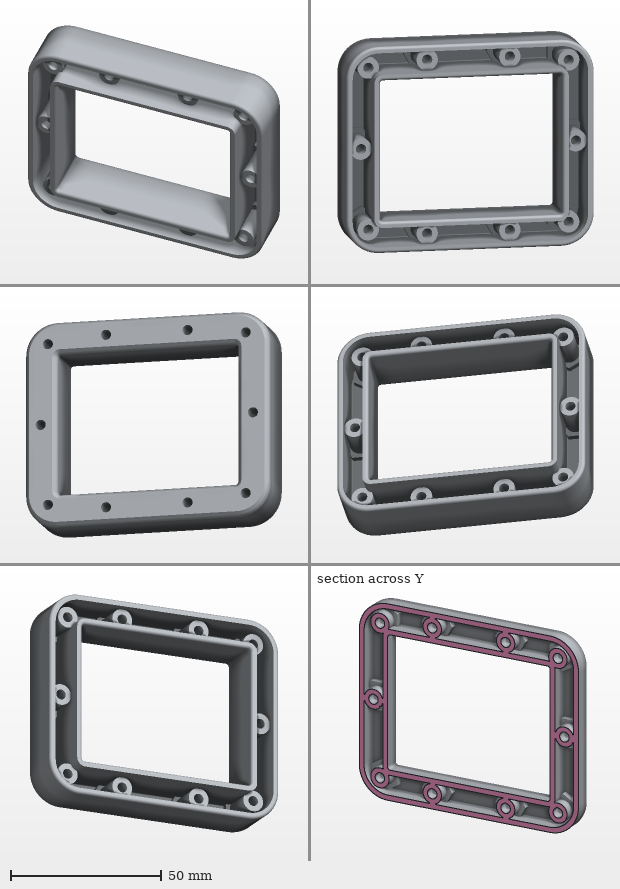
import cadquery as cq
import math

length_x = 84.0
length_z = 70.0
total_depth = 20.0
border = 11.0
wall = 2.0
lip = 2.0
floor_thickness = 2.0
body_depth = total_depth - lip
inner_wall_inset = border - wall

outer_radius = border
inner_wall_radius = 3.0
window_radius = inner_wall_radius - wall
rim_fillet = 1.0
back_chamfer = 1.5
back_blend_radius = 2.0
root_fillet = 0.29

hexagon_width = 10.0
hexagon_corners = hexagon_width / math.cos(math.radians(30))
hexagon_height = 2.0
post_diameter = 7.2
post_top = body_depth - 3.3
hole_diameter = 3.45

long_side_x = 14.0
long_side_z = (length_z - border) / 2
short_side_x = (length_x - border) / 2
corner_x = 34.0
corner_z = 27.5


def in_four_quadrants(x, z):
    return [(sx * x, sz * z) for sx in (-1, 1) for sz in (-1, 1)]


side_bosses = in_four_quadrants(long_side_x, long_side_z) + [(-short_side_x, 0), (short_side_x, 0)]
corner_bosses = in_four_quadrants(corner_x, corner_z)


def plane_at(height):
    """Workplane parallel to the back face that extrudes towards the front."""
    return cq.Workplane("XZ", origin=(0, -height, 0))


def rounded_block(inset, radius, bottom, top):
    """Block with rounded corners, inset from the outer sides of the frame."""
    outline = plane_at(bottom).rect(length_x - 2 * inset, length_z - 2 * inset)
    return outline.extrude(top - bottom).edges("|Y").fillet(radius)


def edges_at(height):
    """Selector for the edges that lie flat at one height above the back face."""
    margin = 0.01
    return cq.selectors.BoxSelector(
        (-length_x, -height - margin, -length_z),
        (length_x, -height + margin, length_z),
        boundingbox=True,
    )


def frame_block():
    """Solid frame around the window, with its front rims rounded and its back rims bevelled."""
    outer = rounded_block(0, outer_radius, 0, body_depth)
    outer = outer.faces("<Y").edges().fillet(rim_fillet)
    inner = rounded_block(inner_wall_inset, inner_wall_radius, 0, total_depth)
    window = rounded_block(border, window_radius, 0, total_depth)
    frame = outer.union(inner).cut(window)
    frame = frame.faces(">Y").chamfer(back_chamfer)
    frame = frame.edges(edges_at(back_chamfer)).fillet(back_blend_radius)
    window_rim = cq.selectors.BoxSelector(
        (-length_x / 2 + border - rim_fillet, -total_depth - 0.8, -length_z / 2 + border - rim_fillet),
        (length_x / 2 - border + rim_fillet, -total_depth + 0.8, length_z / 2 - border + rim_fillet),
        boundingbox=True,
    )
    return frame.faces("<Y").edges(window_rim).fillet(rim_fillet)


def channel_ring(top):
    """Space between the outer and inner walls, from the floor up to a height."""
    ring = rounded_block(wall, outer_radius - wall, floor_thickness, top)
    return ring.cut(rounded_block(inner_wall_inset, inner_wall_radius, floor_thickness, top))


def channel():
    return channel_ring(total_depth).faces(">Y").edges().fillet(root_fillet)


def hexagons(places, turn):
    outline = cq.Sketch().push(places).regularPolygon(hexagon_corners / 2, 6, angle=turn)
    return plane_at(floor_thickness).placeSketch(outline).extrude(hexagon_height)


def bosses():
    """Posts and their hexagonal feet, trimmed to the walls of the channel."""
    posts = plane_at(floor_thickness).pushPoints(side_bosses + corner_bosses)
    posts = posts.circle(post_diameter / 2).extrude(post_top - floor_thickness)
    feet = hexagons(side_bosses, 30).union(hexagons(corner_bosses, 0))
    return feet.union(posts).intersect(channel_ring(post_top))


def screw_holes():
    places = plane_at(0).pushPoints(side_bosses + corner_bosses)
    return places.circle(hole_diameter / 2).extrude(post_top)


result = frame_block().cut(channel()).union(bosses()).cut(screw_holes())